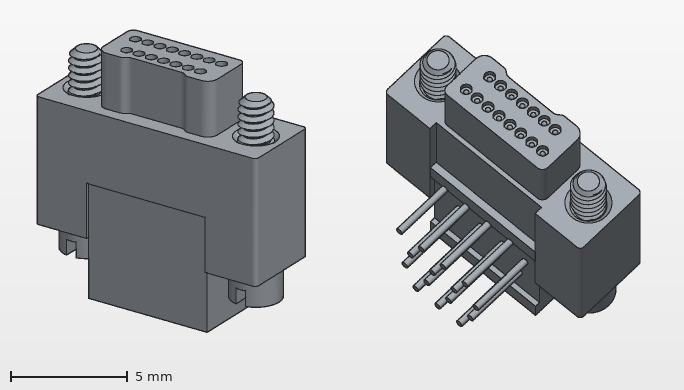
import cadquery as cq
import math

total_height = 11.57
total_depth = 6.71

shell_width = 11.43
shell_depth = 3.88
shell_bottom = 2.89
shell_top = 8.93
shell_corner_radius = 0.2
shell_front = -shell_depth / 2
shell_back = shell_depth / 2

plug_width = 5.9
plug_back = 1.32
plug_front = -1.33
plug_back_radius = 0.32
plug_front_radius = 0.5
notch_depth = 0.21
notch_mouth_half_width = 1.68
notch_floor_half_width = 1.39
notch_mouth_radius = 0.25
notch_floor_radius = 0.34

contact_pitch = 0.64
back_row_count = 8
front_row_count = 7
back_row_y = 0.55
front_row_y = -0.58
cavity_radius = 0.25
cavity_depth = 0.27
contact_tip_radius = 0.12

block_width = 6.13
block_top = 5.5
block_front = -1.78
block_back = 1.91
ledge_height = 0.8
pin_face_y = 1.65
rear_notch_y = 1.54

pin_radius = 0.16
pin_row_pitch = 1.27
pin_row_count = 4
column_pitch = contact_pitch / 2
last_column = 7
pin_end_y = shell_front + total_depth
pin_rows_centre_z = block_top / 2
row_cycle = [0, 2, 1, 3]

screw_x = 4.39
head_radius = 1.18
head_bottom = 1.39
slot_width = 0.5
slot_depth = 0.74
shank_radius = 0.8
countersink_radius = 1.01
screw_top = 10.78
screw_tip_radius = 0.47
thread_crest_radius = 0.78
thread_root_radius = 0.52
thread_pitch = 0.35
plain_tip_height = 0.19
tip_stock = 0.12
thread_half_angle = 30.0
thread_overlap = 0.02
thread_start_z = 8.26
thread_turns = 8
shank_top = shell_top - (countersink_radius - shank_radius)


def box_between(x_size, y0, y1, z0, z1):
    """Box centred on X that spans the given Y and Z ranges."""
    box = cq.Workplane("XY").box(x_size, y1 - y0, z1 - z0, centered=(True, False, False))
    return box.translate((0, y0, z0))


def make_shell():
    shell = box_between(shell_width, shell_front, shell_back, shell_bottom, shell_top)
    shell = shell.edges("|Z").fillet(shell_corner_radius)
    front_pocket = box_between(block_width, shell_front, block_front, shell_bottom, block_top)
    rear_notch = box_between(block_width, rear_notch_y, shell_back, shell_bottom, shell_top)
    return shell.cut(front_pocket).cut(rear_notch)


def make_block():
    block = box_between(block_width, block_front, block_back, 0, block_top)
    pin_recess = box_between(block_width, pin_face_y, block_back, ledge_height, block_top - ledge_height)
    return block.cut(pin_recess)


def fillet_upright_edges(body, points, radius):
    """Round the vertical edges that pass through the given XY points."""
    tolerance = 0.01
    for x, y in points:
        corner = cq.selectors.BoxSelector(
            (x - tolerance, y - tolerance, -total_height),
            (x + tolerance, y + tolerance, 2 * total_height),
        )
        body = body.edges("|Z").edges(corner).fillet(radius)
    return body


def make_plug():
    half_width = plug_width / 2
    notch_floor_y = plug_front + notch_depth
    half_outline = [
        (half_width, plug_back),
        (half_width, plug_front),
        (notch_mouth_half_width, plug_front),
        (notch_floor_half_width, notch_floor_y),
    ]
    radii = [plug_back_radius, plug_front_radius, notch_mouth_radius, notch_floor_radius]
    mirrored_half = [(-x, y) for x, y in reversed(half_outline)]
    plug = cq.Workplane("XY").workplane(offset=shell_top).polyline(half_outline + mirrored_half).close()
    plug = plug.extrude(total_height - shell_top)
    for (x, y), radius in zip(half_outline, radii):
        plug = fillet_upright_edges(plug, [(x, y), (-x, y)], radius)
    return plug


def contact_points():
    points = []
    for count, y in [(back_row_count, back_row_y), (front_row_count, front_row_y)]:
        for i in range(count):
            points.append(((i - (count - 1) / 2) * contact_pitch, y))
    return points


def add_contacts(body):
    """Sink the cavities and leave a domed contact tip on each cavity floor."""
    floor_z = total_height - cavity_depth
    cavities = cq.Workplane("XY").workplane(offset=floor_z).pushPoints(contact_points())
    body = body.cut(cavities.circle(cavity_radius).extrude(cavity_depth))
    tips = cq.Workplane("XY").workplane(offset=floor_z).pushPoints(contact_points())
    return body.union(tips.sphere(contact_tip_radius))


def make_pins():
    """Round pins that start inside the block and all end in one plane."""
    pins = cq.Workplane("XY")
    for column in range(-last_column, last_column + 1):
        row = row_cycle[column % pin_row_count]
        z = pin_rows_centre_z + (row - (pin_row_count - 1) / 2) * pin_row_pitch
        pin = cq.Solid.makeCylinder(
            pin_radius,
            pin_end_y,
            cq.Vector(column * column_pitch, 0, z),
            cq.Vector(0, 1, 0),
        )
        pins = pins.add(pin)
    return pins


def cut_screw_holes(body):
    """Through holes for the screw shanks, with 45 degree countersinks on top."""
    sink = countersink_radius - shank_radius
    profile = [
        (0, shell_bottom),
        (shank_radius, shell_bottom),
        (shank_radius, shell_top - sink),
        (countersink_radius, shell_top),
        (0, shell_top),
    ]
    hole = cq.Workplane("XZ").polyline(profile).close().revolve(360, (0, 0), (0, 1))
    for x in (-screw_x, screw_x):
        body = body.cut(hole.translate((x, 0, 0)))
    return body


def make_housing():
    housing = make_shell().union(make_block()).union(make_plug())
    housing = add_contacts(housing)
    for pin in make_pins().vals():
        housing = housing.union(cq.Workplane(pin))
    return cut_screw_holes(housing)


def make_thread():
    """Core with a right-hand V ridge and plain tip, trimmed flat below and to a 45 degree cone at the tip."""
    root = thread_root_radius - thread_overlap
    half_base = (thread_crest_radius - root) * math.tan(math.radians(thread_half_angle))
    path = cq.Wire.makeHelix(thread_pitch, thread_turns * thread_pitch, thread_root_radius)
    ridge = (
        cq.Workplane("XZ")
        .polyline([(root, -half_base), (thread_crest_radius, 0), (root, half_base)])
        .close()
        .sweep(cq.Workplane(path), isFrenet=True)
        .translate((0, 0, thread_start_z))
    )
    core = cq.Workplane("XY").workplane(offset=thread_start_z)
    core = core.circle(thread_root_radius).extrude(thread_turns * thread_pitch)
    trim_profile = [
        (0, shank_top),
        (shank_radius, shank_top),
        (shank_radius, screw_top - (shank_radius - screw_tip_radius)),
        (screw_tip_radius, screw_top),
        (0, screw_top),
    ]
    trim = cq.Workplane("XZ").polyline(trim_profile).close().revolve(360, (0, 0), (0, 1))
    plain_tip = cq.Workplane(
        cq.Solid.makeCone(
            screw_tip_radius + plain_tip_height + tip_stock,
            screw_tip_radius + tip_stock,
            plain_tip_height + tip_stock,
            cq.Vector(0, 0, screw_top - plain_tip_height),
        )
    )
    return core.union(ridge).union(plain_tip).intersect(trim)


def make_screw():
    """Slotted cheese-head screw standing on the Z axis."""
    head = cq.Workplane("XY").workplane(offset=head_bottom)
    head = head.circle(head_radius).extrude(shell_bottom - head_bottom)
    slot = box_between(slot_width, -head_radius, head_radius, head_bottom, head_bottom + slot_depth)
    shank = cq.Workplane("XY").workplane(offset=shell_bottom)
    shank = shank.circle(shank_radius).extrude(shank_top - shell_bottom)
    return head.cut(slot).union(shank).union(make_thread())


housing = make_housing()
screw = make_screw()
screws = [screw.translate((x, 0, 0)) for x in (-screw_x, screw_x)]

result = cq.Compound.makeCompound([housing.solids().val(), *[placed.solids().val() for placed in screws]])